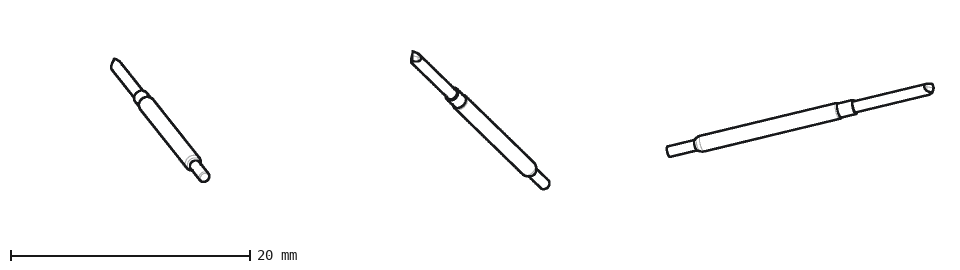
import cadquery as cq
import math

overall_length = 23.62

plunger_radius = 0.96 / 2
collar_radius = 1.23 / 2
barrel_radius = 1.37 / 2
tail_radius = 0.92 / 2

collar_start = 7.06
barrel_start = 8.54
crimp_start = 20.60

mouth_round_radius = 0.20

crimp_round_radius = 0.65
crimp_cone_angle = math.radians(30)

tail_edge_radius = 0.10

point_half_angle = math.radians(31.9)
shoulder_half_angle = math.radians(43.5)
shoulder_half_width = 0.32
point_ridge_slope = 0.25
shoulder_ridge_slope = 0.15


def round_off_point(start_x, start_radius, round_radius, turn_angle, direction=1):
    """Point (x, r) on a round that leaves a cylinder tangentially and turns toward the axis.

    The round runs toward +X, or toward -X when direction is -1.
    """
    x = start_x + direction * round_radius * math.sin(turn_angle)
    r = start_radius - round_radius * (1 - math.cos(turn_angle))
    return x, r


def make_turned_body():
    """Plunger, collar, barrel and tail as one profile revolved about X."""
    mouth_turn = math.acos(1 - (barrel_radius - collar_radius) / mouth_round_radius)
    mouth_start = round_off_point(barrel_start, barrel_radius, mouth_round_radius, mouth_turn, -1)
    mouth_mid = round_off_point(barrel_start, barrel_radius, mouth_round_radius, mouth_turn / 2, -1)

    crimp_mid = round_off_point(crimp_start, barrel_radius, crimp_round_radius, crimp_cone_angle / 2)
    cone_start = round_off_point(crimp_start, barrel_radius, crimp_round_radius, crimp_cone_angle)
    cone_end_x = cone_start[0] + (cone_start[1] - tail_radius) / math.tan(crimp_cone_angle)

    tail_edge_start = overall_length - tail_edge_radius
    tail_edge_mid = round_off_point(tail_edge_start, tail_radius, tail_edge_radius, math.radians(45))

    profile = (
        cq.Workplane("XY")
        .moveTo(0, 0)
        .lineTo(0, plunger_radius)
        .lineTo(collar_start, plunger_radius)
        .lineTo(collar_start, collar_radius)
        .lineTo(*mouth_start)
        .threePointArc(mouth_mid, (barrel_start, barrel_radius))
        .lineTo(crimp_start, barrel_radius)
        .threePointArc(crimp_mid, cone_start)
        .lineTo(cone_end_x, tail_radius)
        .lineTo(tail_edge_start, tail_radius)
        .threePointArc(tail_edge_mid, (overall_length, tail_radius - tail_edge_radius))
        .lineTo(overall_length, 0)
        .close()
    )
    return profile.revolve(360, (0, 0, 0), (1, 0, 0))


def make_facet_cutter(start_x, half_angle, ridge_slope, side_y, side_z):
    """Block in front of the plane x = start_x + side_y * y / tan(half_angle) + side_z * ridge_slope * z."""
    block_size = 6 * plunger_radius
    slope_y = side_y / math.tan(half_angle)
    slope_z = side_z * ridge_slope
    facet = cq.Plane(origin=(start_x, 0, 0), xDir=(0, -slope_z, slope_y), normal=(-1, slope_y, slope_z))
    return cq.Workplane(facet).rect(block_size, block_size).extrude(block_size)


def cut_tip(body):
    """Cut the point and shoulder facets in each of the four quadrants about the axis."""
    point_run = shoulder_half_width / math.tan(point_half_angle)
    shoulder_start = point_run - shoulder_half_width / math.tan(shoulder_half_angle)
    for side_y in (1, -1):
        for side_z in (1, -1):
            point = make_facet_cutter(0, point_half_angle, point_ridge_slope, side_y, side_z)
            shoulder = make_facet_cutter(
                shoulder_start, shoulder_half_angle, shoulder_ridge_slope, side_y, side_z
            )
            body = body.cut(point.intersect(shoulder))
    return body


result = cut_tip(make_turned_body())